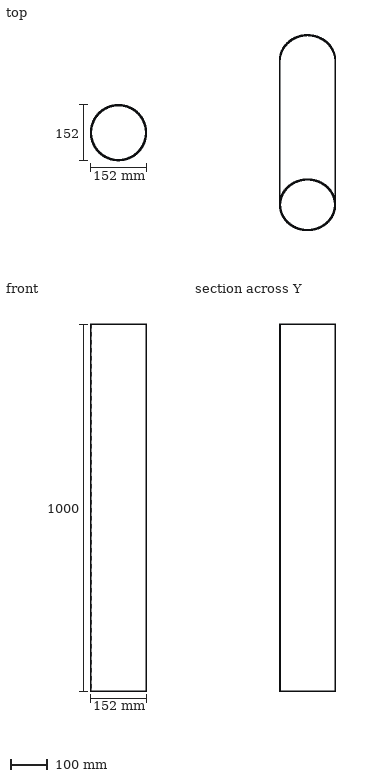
import cadquery as cq

length = 1000.0
outer_diameter = 152.0
wall = 2.0
inner_diameter = outer_diameter - 2 * wall

result = (
    cq.Workplane("XY")
    .circle(outer_diameter / 2)
    .circle(inner_diameter / 2)
    .extrude(length)
)